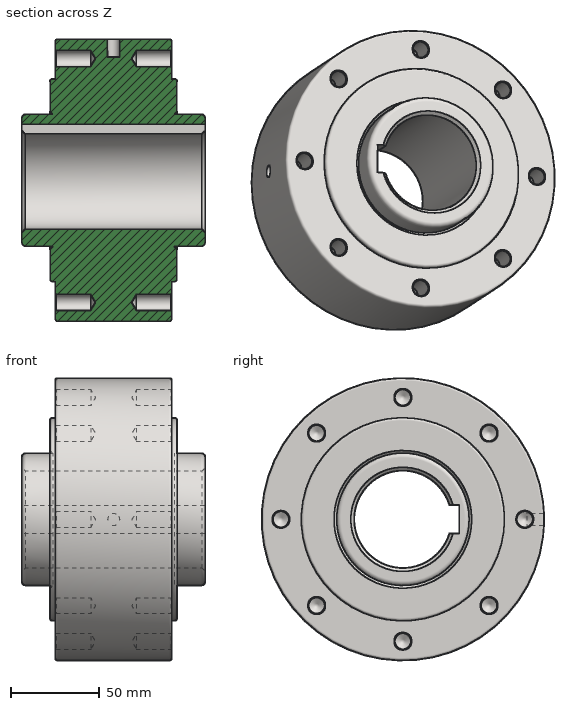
import cadquery as cq
import math

body_diameter = 160.0
body_width = 66.0
body_edge_radius = 1.5

cover_diameter = 115.0
cover_height = 3.0
cover_edge_radius = 1.5

hub_diameter = 75.0
hub_length = 104.0
hub_edge_radius = 2.5
bore_diameter = 55.0
bore_chamfer = 2.0
keyway_width = 16.0
keyway_top = 31.8

hub_recess_width = 1.5
hub_recess_depth = 1.5

hole_count = 8
hole_circle_diameter = 138.0
hole_diameter = 9.0
hole_chamfer = 0.5
hole_depth = 20.0
drill_point_angle = 118.0

rim_hole_diameter = 6.8
rim_hole_depth = 10.0

SIDES = (-1, 1)


def disc(diameter, width):
    """Disc on the X axis, centred on the origin."""
    return cq.Workplane("YZ", origin=(-width / 2, 0, 0)).circle(diameter / 2).extrude(width)


def rounded_disc(diameter, width, edge_radius):
    return disc(diameter, width).faces("<X or >X").edges().fillet(edge_radius)


def revolved(profile_points):
    """Solid of revolution about the X axis from (x, radius) points."""
    profile = cq.Workplane("XY").polyline(profile_points).close()
    return profile.revolve(360, (0, 0, 0), (1, 0, 0))


def hub_recess(side):
    """Ring with a triangular section, widest at the cover face."""
    face_x = side * (body_width / 2 + cover_height)
    hub_radius = hub_diameter / 2
    return revolved([
        (face_x, hub_radius),
        (face_x, hub_radius + hub_recess_width),
        (face_x - side * hub_recess_depth, hub_radius),
    ])


def fixing_hole(side):
    """Blind drilled hole on the X axis, with a chamfered mouth at a body face."""
    radius = hole_diameter / 2
    point_length = radius / math.tan(math.radians(drill_point_angle / 2))
    face_x = side * body_width / 2
    floor_x = face_x - side * hole_depth
    return revolved([
        (face_x, 0),
        (face_x, radius + hole_chamfer),
        (face_x - side * hole_chamfer, radius),
        (floor_x, radius),
        (floor_x - side * point_length, 0),
    ])


def bore():
    """Through bore with its end chamfers."""
    half_length = hub_length / 2
    radius = bore_diameter / 2
    return revolved([
        (-half_length, 0),
        (-half_length, radius + bore_chamfer),
        (-half_length + bore_chamfer, radius),
        (half_length - bore_chamfer, radius),
        (half_length, radius + bore_chamfer),
        (half_length, 0),
    ])


def keyway():
    """Slot along the whole bore on its +Y side."""
    slot = cq.Workplane("XY").box(hub_length, keyway_top, keyway_width)
    return slot.translate((0, keyway_top / 2, 0))


def rim_hole():
    """Blind hole drilled inwards from the rim at +Y."""
    floor = cq.Workplane("XZ", origin=(0, body_diameter / 2 - rim_hole_depth, 0))
    return floor.circle(rim_hole_diameter / 2).extrude(-rim_hole_depth)


body = rounded_disc(body_diameter, body_width, body_edge_radius)
covers = rounded_disc(cover_diameter, body_width + 2 * cover_height, cover_edge_radius)
hub = rounded_disc(hub_diameter, hub_length, hub_edge_radius)

result = body.union(covers).union(hub)
for side in SIDES:
    result = result.cut(hub_recess(side))
    for index in range(hole_count):
        hole = fixing_hole(side).translate((0, 0, hole_circle_diameter / 2))
        result = result.cut(hole.rotate((0, 0, 0), (1, 0, 0), index * 360 / hole_count))
result = result.cut(bore()).cut(keyway()).cut(rim_hole())